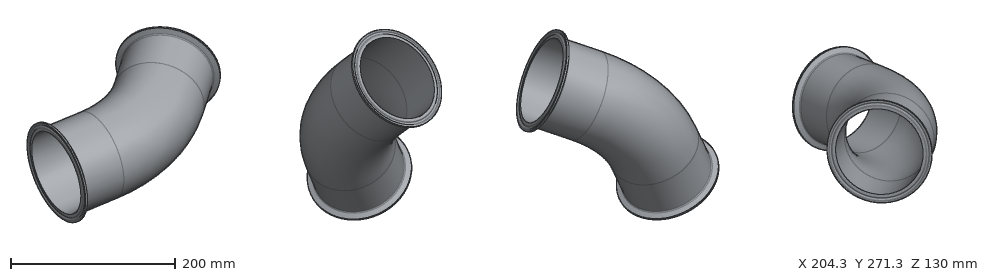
import cadquery as cq
import math

tube_od = 114.3
tube_bore = 108.3
bend_angle = 45.0
bend_radius = 1.5 * tube_od
face_to_corner = 132.0
leg_length = face_to_corner - bend_radius * math.tan(math.radians(bend_angle / 2))

flange_od = 130.0
rim_thickness = 2.7
clamp_angle = 20.0
neck_fillet = 1.6

groove_mid_radius = 60.4
groove_depth = 1.6
groove_bottom_radius = 1.5
groove_half_width = 2.2

tube_radius = tube_od / 2
bore_radius = tube_bore / 2
flange_radius = flange_od / 2


def draw_groove(profile):
    """Continue the profile along the face (y = 0) and through the gasket groove."""
    radius_sum = (groove_half_width**2 + groove_depth**2) / (2 * groove_depth)
    lip_radius = radius_sum - groove_bottom_radius
    bottom_center_y = groove_depth - groove_bottom_radius

    wall_angle = math.asin(groove_half_width / radius_sum)
    join_offset = groove_bottom_radius * math.sin(wall_angle)
    join_y = bottom_center_y + groove_bottom_radius * math.cos(wall_angle)

    lip_mid_offset = groove_half_width - lip_radius * math.sin(wall_angle / 2)
    lip_mid_y = lip_radius * (1 - math.cos(wall_angle / 2))

    inner_edge = groove_mid_radius - groove_half_width
    outer_edge = groove_mid_radius + groove_half_width
    return (
        profile.lineTo(inner_edge, 0)
        .threePointArc(
            (groove_mid_radius - lip_mid_offset, lip_mid_y),
            (groove_mid_radius - join_offset, join_y),
        )
        .threePointArc((groove_mid_radius, groove_depth), (groove_mid_radius + join_offset, join_y))
        .threePointArc((groove_mid_radius + lip_mid_offset, lip_mid_y), (outer_edge, 0))
    )


def draw_flange_back(profile):
    """Continue the profile from the rim down the cone and the fillet onto the tube."""
    slope = math.radians(clamp_angle)
    cone_foot_y = rim_thickness + (flange_radius - tube_radius) * math.tan(slope)

    turn = math.pi / 2 - slope
    tangent_length = neck_fillet * math.tan(turn / 2)
    cone_end = (
        tube_radius + tangent_length * math.cos(slope),
        cone_foot_y - tangent_length * math.sin(slope),
    )
    tube_start = (tube_radius, cone_foot_y + tangent_length)
    fillet_mid = (
        tube_radius + neck_fillet * (1 - math.cos(turn / 2)),
        tube_start[1] - neck_fillet * math.sin(turn / 2),
    )
    return (
        profile.lineTo(flange_radius, 0)
        .lineTo(flange_radius, rim_thickness)
        .lineTo(*cone_end)
        .threePointArc(fillet_mid, tube_start)
    )


def make_leg():
    """Straight tube along +Y with its ferrule face at y = 0."""
    profile = cq.Workplane("XY").moveTo(bore_radius, 0)
    profile = draw_groove(profile)
    profile = draw_flange_back(profile)
    profile = profile.lineTo(tube_radius, leg_length).lineTo(bore_radius, leg_length).close()
    return profile.revolve(360, (0, 0, 0), (0, 1, 0))


def make_bend():
    """Curved tube from the end of the first leg, turning from +Y towards -X."""
    return (
        cq.Workplane("XZ", origin=(0, leg_length, 0))
        .circle(tube_radius)
        .circle(bore_radius)
        .revolve(bend_angle, (-bend_radius, 0, 0), (-bend_radius, 1, 0))
    )


def place_far_leg(leg):
    """Mirror the leg across the start of the bend, then swing it to the far end."""
    mirrored = leg.mirror("XZ", (0, leg_length, 0))
    return mirrored.rotate((-bend_radius, leg_length, 0), (-bend_radius, leg_length, 1), bend_angle)


near_leg = make_leg()
far_leg = place_far_leg(near_leg)
result = near_leg.union(make_bend()).union(far_leg)